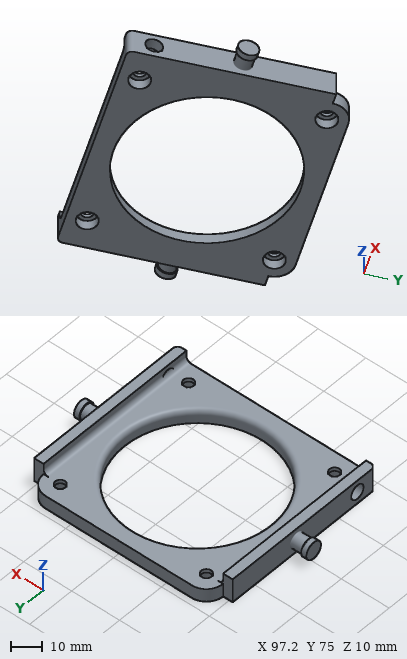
import cadquery as cq

span = 97.2
height = 10.0
plate_length = 75.0
plate_thickness = 5.5
wall_thickness = 4.0
wall_fillet = 2.0
front_corner_radius = 2.0
back_corner_radius = 7.0

half_plate = plate_length / 2
half_body = half_plate + wall_thickness
corner_center = half_plate - back_corner_radius
wall_length = half_plate + corner_center

bore_diameter = 61.0
bore_rounding = 2.0
mount_hole_diameter = 4.2
counterbore_diameter = 7.2
counterbore_floor = 1.6
counterbore_depth = plate_thickness - counterbore_floor

side_axis_height = height / 2
pin_neck_diameter = 6.0
pin_head_diameter = 7.0
pin_head_length = 2.2
pin_root_fillet = 0.3
side_hole_diameter = 5.8
side_hole_floor = 0.1
side_hole_depth = wall_thickness - side_hole_floor
side_hole_y = -28.9


def make_plate():
    """Square plate with rounded back corners."""
    plate = cq.Workplane("XY").rect(plate_length, plate_length).extrude(plate_thickness)
    return plate.edges("|Z and >Y").fillet(back_corner_radius)


def make_left_wall():
    """Upright side wall with a concave fillet running down to the plate."""
    wall = (
        cq.Workplane("XZ", origin=(0, -half_plate, 0))
        .moveTo(-half_body, 0)
        .lineTo(-half_body, height)
        .lineTo(-half_plate, height)
        .lineTo(-half_plate, plate_thickness + wall_fillet)
        .radiusArc((-half_plate + wall_fillet, plate_thickness), -wall_fillet)
        .lineTo(-half_plate + wall_fillet, 0)
        .close()
        .extrude(-wall_length)
    )
    return wall.edges("|Z and <X and <Y").fillet(front_corner_radius)


def make_left_pin():
    """Headed pin standing out of the wall, flared where it meets the wall."""
    neck_radius = pin_neck_diameter / 2
    head_radius = pin_head_diameter / 2
    root_radius = neck_radius + pin_root_fillet
    tip_x = -span / 2
    head_x = tip_x + pin_head_length
    return (
        cq.Workplane("XY")
        .moveTo(tip_x, 0)
        .lineTo(tip_x, head_radius)
        .lineTo(head_x, head_radius)
        .lineTo(head_x, neck_radius)
        .lineTo(-half_body - pin_root_fillet, neck_radius)
        .radiusArc((-half_body, root_radius), -pin_root_fillet)
        .lineTo(-half_body, 0)
        .close()
        .revolve(360, (0, 0, 0), (1, 0, 0))
        .translate((0, 0, side_axis_height))
    )


def make_left_side_hole():
    """Cutter for the blind hole in the outer face of the wall."""
    return (
        cq.Workplane("YZ", origin=(-half_body, side_hole_y, side_axis_height))
        .circle(side_hole_diameter / 2)
        .extrude(side_hole_depth)
    )


def make_bore():
    """Cutter for the central opening, widening in a convex round at the top."""
    bore_radius = bore_diameter / 2
    rim_radius = bore_radius + bore_rounding
    return (
        cq.Workplane("XZ")
        .lineTo(bore_radius, 0)
        .lineTo(bore_radius, plate_thickness - bore_rounding)
        .radiusArc((rim_radius, plate_thickness), bore_rounding)
        .lineTo(0, plate_thickness)
        .close()
        .revolve(360, (0, 0, 0), (0, 1, 0))
    )


def make_mount_holes():
    """Cutters for the four through holes, counterbored from the underside."""
    spacing = 2 * corner_center
    centers = cq.Workplane("XY").rect(spacing, spacing, forConstruction=True).vertices()
    through_holes = centers.circle(mount_hole_diameter / 2).extrude(plate_thickness)
    counterbores = centers.circle(counterbore_diameter / 2).extrude(counterbore_depth)
    return through_holes.union(counterbores)


left_side = make_left_wall().cut(make_left_side_hole()).union(make_left_pin())
right_side = left_side.mirror("YZ")

result = make_plate().union(left_side).union(right_side)
result = result.cut(make_bore()).cut(make_mount_holes())